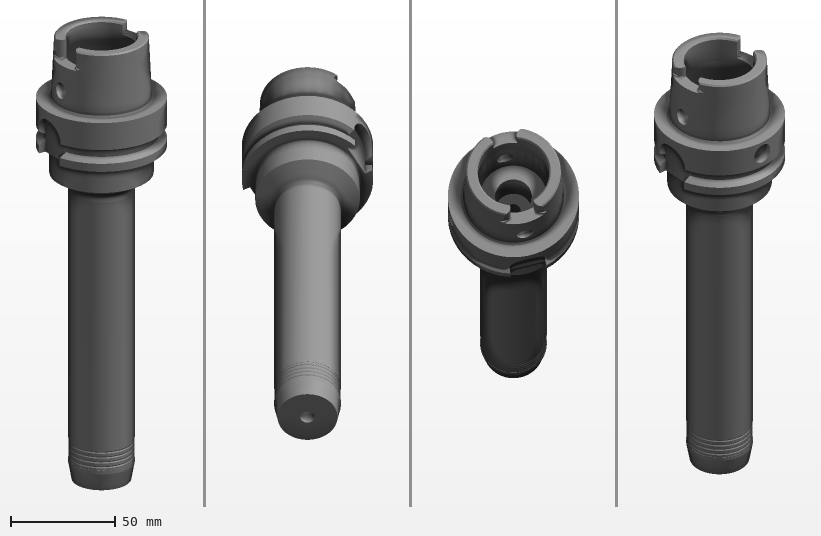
import cadquery as cq
import math

total_height = 232.0

shank_radius = 16.0
nose_radius = 14.4
nose_height = 9.0

band_middle = 16.5
band_length = 11.1
band_depth = 0.12
groove_count = 4
groove_pitch = 2.5
groove_width = 1.5
groove_depth = 0.5

relief_radius = 15.8
relief_bottom = 151.5
relief_top = 153.5
flare_angle = 30.0
neck_radius = 25.0
neck_bottom = 160.5
neck_fillet = 0.7

flange_radius = 62.8 / 2
flange_bottom = 174.5
flange_top = 200.0
gripper_radius = 27.8
gripper_bottom = 180.7
gripper_top = 183.7
gripper_slope_height = 2.0

taper_base_radius = 24.1
taper_tip_radius = 22.7
taper_base = 202.0
root_flare_width = 1.2
root_flare_height = 0.7
rim_chamfer = 0.7

mouth_radius = 17.2
mouth_chamfer = 0.7
mouth_bottom = 219.0
bore_floor_radius = 16.0
bore_floor = 199.5
tube_radius = 8.8
tube_floor = 180.9
coolant_radius = 3.5

pin_diameter = 8.1
pin_height = 209.0
coding_diameter = 10.0
coding_height = 193.2
coding_depth = 4.6

keyway_width = 17.6
keyway_round_diameter = 18.5
keyway_floor = 26.5
keyway_top = 195.5

front_slot_depth = 10.0
back_slot_depth = 5.8
slot_half_width = 5.8
slot_flare_start = (slot_half_width, -17.2)
slot_flare_middle = (7.0, -19.5)
slot_flare_end = (9.5, -20.6)
slot_outer_corner = (12.0, -21.0)
slot_corner_fillet = 1.2
slot_overshoot = 2.3
relief_half_width = 12.0
relief_height = 2.8
relief_floor_rise = 1.0
relief_top_half_width = 10.0
relief_start = 20.0


def make_body():
    """Revolve the outer profile of the whole holder."""
    slope = math.tan(math.radians(flare_angle))
    sweep = math.radians(90 - flare_angle)
    cone_foot = neck_bottom - (neck_radius - relief_radius) * slope
    flare_fillet = (cone_foot - relief_top) / (math.sin(sweep) - (1 - math.cos(sweep)) * slope)
    fillet_center = relief_radius + flare_fillet
    flare_radius = fillet_center - flare_fillet * math.cos(sweep)
    flare_height = relief_top + flare_fillet * math.sin(sweep)
    fillet_middle = (
        fillet_center - flare_fillet * math.cos(sweep / 2),
        relief_top + flare_fillet * math.sin(sweep / 2),
    )
    quarter = 1 - math.sqrt(0.5)

    profile = (
        cq.Workplane("XZ")
        .lineTo(nose_radius, 0)
        .lineTo(shank_radius, nose_height)
        .lineTo(shank_radius, relief_bottom)
        .lineTo(relief_radius, relief_top)
        .threePointArc(fillet_middle, (flare_radius, flare_height))
        .lineTo(neck_radius, neck_bottom)
        .lineTo(neck_radius, flange_bottom - neck_fillet)
        .threePointArc(
            (neck_radius + neck_fillet * quarter, flange_bottom - neck_fillet * quarter),
            (neck_radius + neck_fillet, flange_bottom),
        )
        .lineTo(flange_radius, flange_bottom)
        .lineTo(flange_radius, gripper_bottom - gripper_slope_height)
        .lineTo(gripper_radius, gripper_bottom)
        .lineTo(gripper_radius, gripper_top)
        .lineTo(flange_radius, gripper_top + gripper_slope_height)
        .lineTo(flange_radius, flange_top)
        .lineTo(taper_base_radius + root_flare_width, flange_top)
        .lineTo(taper_base_radius, flange_top + root_flare_height)
        .lineTo(taper_base_radius, taper_base)
        .lineTo(taper_tip_radius, total_height - rim_chamfer)
        .lineTo(taper_tip_radius - rim_chamfer, total_height)
        .lineTo(0, total_height)
        .close()
    )
    return profile.revolve(360, (0, 0, 0), (0, 1, 0))


def make_bore():
    """Stepped bore open at the head, with a coolant hole right through."""
    profile = (
        cq.Workplane("XZ")
        .lineTo(coolant_radius, 0)
        .lineTo(coolant_radius, tube_floor)
        .lineTo(tube_radius, tube_floor)
        .lineTo(tube_radius, bore_floor)
        .lineTo(bore_floor_radius, bore_floor)
        .lineTo(mouth_radius, mouth_bottom)
        .lineTo(mouth_radius, total_height - mouth_chamfer)
        .lineTo(mouth_radius + mouth_chamfer, total_height)
        .lineTo(0, total_height)
        .close()
    )
    return profile.revolve(360, (0, 0, 0), (0, 1, 0))


def make_band():
    """Thin ring of material removed from the shank to form the turned-down band."""
    return (
        cq.Workplane("XY", origin=(0, 0, band_middle - band_length / 2))
        .circle(flange_radius)
        .circle(shank_radius - band_depth)
        .extrude(band_length)
    )


def make_ring_groove(height):
    """V-shaped ring cutter for the shank, centred on the given height."""
    return (
        cq.Workplane("XZ")
        .moveTo(shank_radius - groove_depth, height)
        .lineTo(shank_radius, height + groove_width / 2)
        .lineTo(shank_radius, height - groove_width / 2)
        .close()
        .revolve(360, (0, 0, 0), (0, 1, 0))
    )


def make_keyway():
    """Keyway cutter on the -Y side of the flange, ending in a slightly wider round top."""
    round_radius = keyway_round_diameter / 2
    round_height = keyway_top - round_radius
    keyway_bottom = flange_bottom - neck_fillet
    floor_plane = cq.Workplane("XZ", origin=(0, -keyway_floor, 0))
    round_top = floor_plane.center(0, round_height).circle(round_radius).extrude(flange_radius)
    straight_part = (
        floor_plane
        .center(0, (round_height + keyway_bottom) / 2)
        .rect(keyway_width, round_height - keyway_bottom)
        .extrude(flange_radius)
    )
    return round_top.union(straight_part)


def mirrored(point):
    """Mirror a plan point across the YZ plane."""
    return (-point[0], point[1])


def make_drive_slot(depth):
    """Drive slot cutter on the -Y side, flaring outwards, with undercut outer corners."""
    floor = total_height - depth
    slot = (
        cq.Workplane("XY", origin=(0, 0, floor))
        .moveTo(slot_half_width, 0)
        .lineTo(*slot_flare_start)
        .threePointArc(slot_flare_middle, slot_flare_end)
        .lineTo(*slot_outer_corner)
        .lineTo(slot_outer_corner[0], -flange_radius)
        .lineTo(-slot_outer_corner[0], -flange_radius)
        .lineTo(*mirrored(slot_outer_corner))
        .lineTo(*mirrored(slot_flare_end))
        .threePointArc(mirrored(slot_flare_middle), mirrored(slot_flare_start))
        .lineTo(-slot_half_width, 0)
        .close()
        .extrude(depth + slot_overshoot)
        .faces("<Z").edges("%CIRCLE").fillet(slot_corner_fillet)
    )
    relief_floor = floor + relief_floor_rise
    corner_relief = (
        cq.Workplane("XZ", origin=(0, -relief_start, 0))
        .polyline([
            (-relief_half_width, relief_floor),
            (relief_half_width, relief_floor),
            (relief_top_half_width, relief_floor + relief_height),
            (-relief_top_half_width, relief_floor + relief_height),
        ])
        .close()
        .extrude(flange_radius)
    )
    return slot.union(corner_relief)


def opposite(cutter):
    """Turn a cutter half a turn about Z, to the +Y side."""
    return cutter.rotate((0, 0, 0), (0, 0, 1), 180)


result = make_body().cut(make_bore()).cut(make_band())

for index in range(groove_count):
    offset = (index - (groove_count - 1) / 2) * groove_pitch
    result = result.cut(make_ring_groove(band_middle + offset))

keyway = make_keyway()
result = result.cut(keyway).cut(opposite(keyway))

result = result.cut(make_drive_slot(front_slot_depth))
result = result.cut(opposite(make_drive_slot(back_slot_depth)))

pin_hole = (
    cq.Workplane("XZ", origin=(0, 0, pin_height))
    .circle(pin_diameter / 2)
    .extrude(flange_radius, both=True)
)
result = result.cut(pin_hole)

coding_hole = (
    cq.Workplane("YZ", origin=(-flange_radius, 0, coding_height))
    .circle(coding_diameter / 2)
    .extrude(coding_depth)
)
result = result.cut(coding_hole)